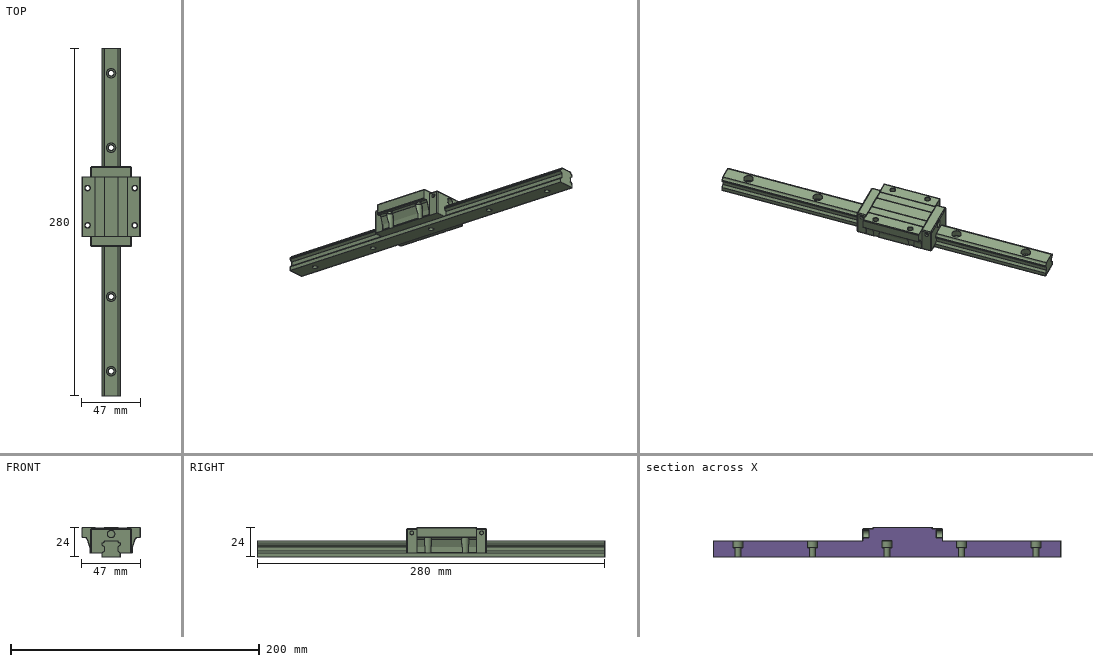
import cadquery as cq
import math

RAIL_LENGTH = 280.0
RAIL_WIDTH = 15.0
RAIL_HEIGHT = 13.0
RAIL_NECK_WIDTH = 11.0
RAIL_FOOT_HEIGHT = 3.2
RAIL_NECK_BOTTOM = 4.8
RAIL_NECK_TOP = 8.2
RAIL_HEAD_BOTTOM = 9.9
RAIL_HEAD_TOP = 11.2
BALL_GROOVE_SAGITTA = 0.55
RAIL_HOLE_PITCH = 60.0
RAIL_HOLE_COUNT = 5
RAIL_HOLE_DIAMETER = 4.5
RAIL_COUNTERBORE_DIAMETER = 7.5
RAIL_COUNTERBORE_DEPTH = 5.3

CARRIAGE_Y = 12.5
BLOCK_LENGTH = 48.0
BLOCK_WIDTH = 47.0
BLOCK_TOP = 24.0
BLOCK_BOTTOM = 3.2
FLANGE_BOTTOM = 15.7
FLANGE_CHAMFER = 0.6
SKIRT_ROOT_WIDTH = 41.0
SKIRT_SHOULDER_WIDTH = 38.4
SKIRT_SHOULDER_HEIGHT = 14.2
SKIRT_WIDTH = 34.4
SKIRT_BEND_HEIGHT = 7.8
SKIRT_CHAMFER = 0.6

TOP_GROOVE_INNER_X = 5.5
TOP_GROOVE_OUTER_X = 13.0
TOP_GROOVE_DEPTH = 0.4

MOUNT_PITCH_X = 38.0
MOUNT_PITCH_Y = 30.0
MOUNT_HOLE_DIAMETER = 4.0
MOUNT_COUNTERSINK_DIAMETER = 4.5
MOUNT_CLEARANCE_DIAMETER = 6.0

CAP_LENGTH = 8.2
CAP_WIDTH = 33.0
CAP_TOP = 23.0
CAP_CHAMFER = 0.8
CAP_SIDE_PORT_HEIGHT = 19.5
CAP_SIDE_PORT_DIAMETER = 3.0
CAP_SIDE_PORT_DEPTH = 2.0
CAP_END_PORT_DIAMETER = 6.0
CAP_END_PORT_HEIGHT = 18.6
CAP_END_PORT_DEPTH = 5.0


def extrude_along_y(half_outline, length, y_center):
    """Mirror a right-hand XZ outline about X = 0 and extrude it centred on y_center."""
    left_half = [(-x, z) for x, z in reversed(half_outline)]
    return (
        cq.Workplane("XZ", origin=(0, y_center + length / 2, 0))
        .polyline(half_outline + left_half)
        .close()
        .extrude(length)
    )


def vertical_cylinder(x, y, z_bottom, z_top, diameter):
    return (
        cq.Workplane("XY", origin=(x, y, z_bottom))
        .circle(diameter / 2)
        .extrude(z_top - z_bottom)
    )


def make_rail_bar():
    """Rail without its screw holes."""
    half_width = RAIL_WIDTH / 2
    half_neck = RAIL_NECK_WIDTH / 2
    bar = extrude_along_y(
        [
            (half_width, 0),
            (half_width, RAIL_FOOT_HEIGHT),
            (half_neck, RAIL_NECK_BOTTOM),
            (half_neck, RAIL_NECK_TOP),
            (half_width, RAIL_HEAD_BOTTOM),
            (half_width, RAIL_HEAD_TOP),
            (half_neck, RAIL_HEIGHT),
        ],
        RAIL_LENGTH,
        0,
    )
    return cut_ball_grooves(bar)


def cut_ball_grooves(bar):
    """Hollow the sloped upper corners of the rail head into shallow arcs."""
    half_width = RAIL_WIDTH / 2
    half_neck = RAIL_NECK_WIDTH / 2
    run = half_width - half_neck
    rise = RAIL_HEIGHT - RAIL_HEAD_TOP
    slope_length = math.hypot(run, rise)
    deepest_x = (half_width + half_neck) / 2 - BALL_GROOVE_SAGITTA * rise / slope_length
    deepest_z = (RAIL_HEIGHT + RAIL_HEAD_TOP) / 2 - BALL_GROOVE_SAGITTA * run / slope_length
    for side in (-1, 1):
        groove = (
            cq.Workplane("XZ", origin=(0, RAIL_LENGTH / 2, 0))
            .moveTo(side * half_neck, RAIL_HEIGHT)
            .threePointArc((side * deepest_x, deepest_z), (side * half_width, RAIL_HEAD_TOP))
            .close()
            .extrude(RAIL_LENGTH)
        )
        bar = bar.cut(groove)
    return bar


def drill_rail_holes(bar):
    return (
        bar.faces(">Z")
        .workplane(origin=(0, 0, RAIL_HEIGHT))
        .rarray(1, RAIL_HOLE_PITCH, 1, RAIL_HOLE_COUNT)
        .cboreHole(RAIL_HOLE_DIAMETER, RAIL_COUNTERBORE_DIAMETER, RAIL_COUNTERBORE_DEPTH)
    )


def cut_top_grooves(block):
    groove_width = TOP_GROOVE_OUTER_X - TOP_GROOVE_INNER_X
    groove_x = (TOP_GROOVE_OUTER_X + TOP_GROOVE_INNER_X) / 2
    for side in (-1, 1):
        groove = cq.Workplane("XY").box(groove_width, BLOCK_LENGTH, 2 * TOP_GROOVE_DEPTH)
        block = block.cut(groove.translate((side * groove_x, CARRIAGE_Y, BLOCK_TOP)))
    return block


def countersink_cone(x, y):
    """45-degree cone that eases the top rim of a mounting hole."""
    depth = (MOUNT_COUNTERSINK_DIAMETER - MOUNT_HOLE_DIAMETER) / 2
    return cq.Workplane(
        cq.Solid.makeCone(
            MOUNT_HOLE_DIAMETER / 2,
            MOUNT_COUNTERSINK_DIAMETER / 2,
            depth,
            pnt=cq.Vector(x, y, BLOCK_TOP - depth),
        )
    )


def cut_mounting_holes(block):
    for side_x in (-1, 1):
        for side_y in (-1, 1):
            x = side_x * MOUNT_PITCH_X / 2
            y = CARRIAGE_Y + side_y * MOUNT_PITCH_Y / 2
            block = block.cut(vertical_cylinder(x, y, 0, BLOCK_TOP, MOUNT_HOLE_DIAMETER))
            block = block.cut(vertical_cylinder(x, y, 0, FLANGE_BOTTOM, MOUNT_CLEARANCE_DIAMETER))
            block = block.cut(countersink_cone(x, y))
    return block


def make_block():
    half_width = BLOCK_WIDTH / 2
    half_skirt = SKIRT_WIDTH / 2
    block = extrude_along_y(
        [
            (half_skirt - SKIRT_CHAMFER, BLOCK_BOTTOM),
            (half_skirt, BLOCK_BOTTOM + SKIRT_CHAMFER),
            (half_skirt, SKIRT_BEND_HEIGHT),
            (SKIRT_SHOULDER_WIDTH / 2, SKIRT_SHOULDER_HEIGHT),
            (SKIRT_ROOT_WIDTH / 2, FLANGE_BOTTOM),
            (half_width - FLANGE_CHAMFER, FLANGE_BOTTOM),
            (half_width, FLANGE_BOTTOM + FLANGE_CHAMFER),
            (half_width, BLOCK_TOP - FLANGE_CHAMFER),
            (half_width - FLANGE_CHAMFER, BLOCK_TOP),
        ],
        BLOCK_LENGTH,
        CARRIAGE_Y,
    )
    return cut_mounting_holes(cut_top_grooves(block))


def make_end_cap(end):
    """End cap on the +Y (end = 1) or -Y (end = -1) face of the block."""
    y_center = CARRIAGE_Y + end * (BLOCK_LENGTH + CAP_LENGTH) / 2
    y_outer = y_center + end * CAP_LENGTH / 2
    height = CAP_TOP - BLOCK_BOTTOM
    outer_face = ">Y" if end > 0 else "<Y"
    inner_face = "<Y" if end > 0 else ">Y"
    cap = (
        cq.Workplane("XY", origin=(0, y_center, BLOCK_BOTTOM))
        .box(CAP_WIDTH, CAP_LENGTH, height, centered=(True, True, False))
        .edges(f"({outer_face} and |Z) or (>Z and (not {inner_face}))")
        .chamfer(CAP_CHAMFER)
    )
    end_port = (
        cq.Workplane("XZ", origin=(0, y_outer, CAP_END_PORT_HEIGHT))
        .circle(CAP_END_PORT_DIAMETER / 2)
        .extrude(end * CAP_END_PORT_DEPTH)
    )
    cap = cap.cut(end_port)
    for side in (-1, 1):
        side_port = (
            cq.Workplane("YZ", origin=(side * CAP_WIDTH / 2, y_center, CAP_SIDE_PORT_HEIGHT))
            .circle(CAP_SIDE_PORT_DIAMETER / 2)
            .extrude(-side * CAP_SIDE_PORT_DEPTH)
        )
        cap = cap.cut(side_port)
    return cap


rail_bar = make_rail_bar()
carriage = make_block().union(make_end_cap(1)).union(make_end_cap(-1))
carriage = carriage.cut(rail_bar)
result = carriage.union(drill_rail_holes(rail_bar))